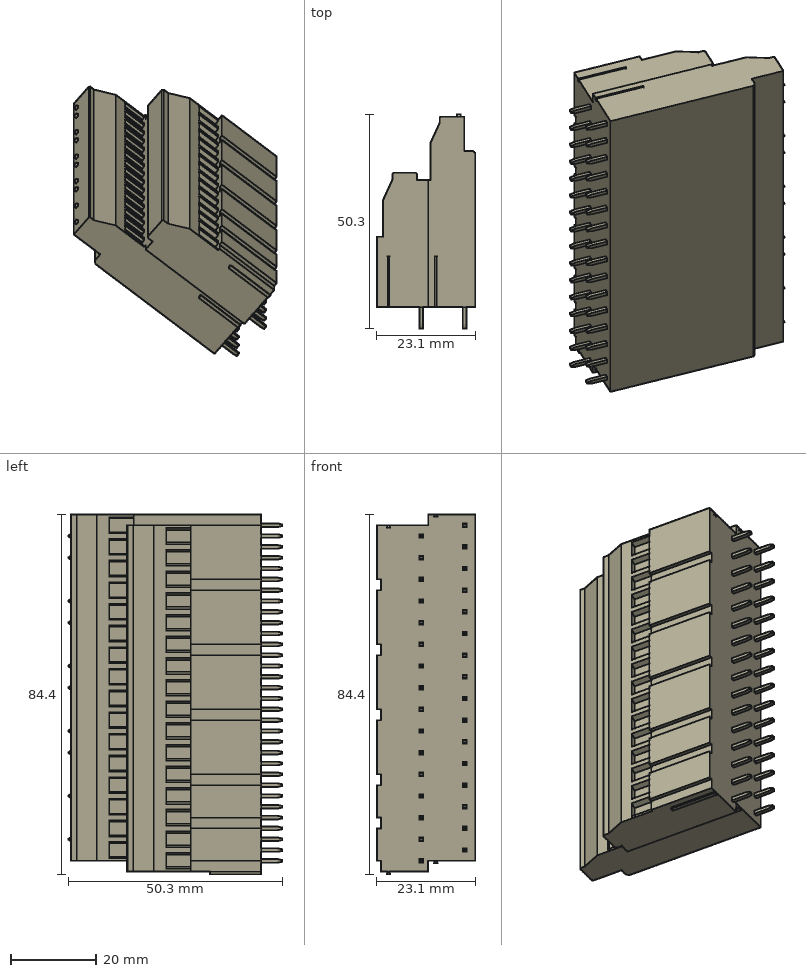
import cadquery as cq


pitch = 5.08
module_poles = [2, 2, 3, 3, 3, 3]
pole_count = sum(module_poles)
length = pole_count * pitch
tier_stagger = pitch / 2

tier_shift_x = 11.1
tier_shift_y = 13.35

depth = 23.1
split_x = 12.0
wall_x = 1.4
ledge_y = 16.55
wall_height = 8.6
slope_run = 2.2
slope_height = 4.8
front_crown_height = 1.6
rear_crown_height = 1.4
crown_back_x = 9.4
front_crown_chamfer = 0.3
rear_crown_chamfer = 0.2
shoulder_x = 20.5
shoulder_y = 36.7
shoulder_chamfer = 0.6

window_width = 5.75
window_height = 3.8
front_window_depth = 1.4
rear_window_depth = 0.7
front_window_draft = 0.5
rear_window_draft = 0.3

notch_depth = 0.9
notch_height = pitch / 2

dovetail_x = 2.7
dovetail_neck = 0.4
dovetail_base = 0.9
dovetail_height = 0.6
dovetail_length = 12.0

pin_size = 0.9
pin_tip_size = 0.4
pin_length = 5.0
pin_tip_length = 1.1
front_pin_x = 10.4
rear_pin_x = front_pin_x + 2 * pitch

ridge_x = 19.2
ridge_width = 0.9
ridge_base = 0.9
ridge_height = 0.6

slope_start_y = ledge_y + wall_height
slope_end_y = slope_start_y + slope_height
front_crown_y = slope_end_y + front_crown_height
rear_ledge_y = ledge_y + tier_shift_y
rear_crown_y = slope_end_y + tier_shift_y + rear_crown_height

tiers = [
    (0, 0, 0, front_window_depth, front_window_draft),
    (tier_shift_x, tier_shift_y, tier_stagger, rear_window_depth, rear_window_draft),
]


def extrude_profile(points, bottom_z):
    """Full-length prism of an XY outline."""
    return cq.Workplane("XY").workplane(offset=bottom_z).polyline(points).close().extrude(length)


def front_body():
    slope_x = wall_x + slope_run
    return extrude_profile(
        [
            (0, 0),
            (split_x, 0),
            (split_x, rear_ledge_y),
            (crown_back_x, rear_ledge_y),
            (crown_back_x, front_crown_y - front_crown_chamfer),
            (crown_back_x - front_crown_chamfer, front_crown_y),
            (slope_x + front_crown_chamfer, front_crown_y),
            (slope_x, front_crown_y - front_crown_chamfer),
            (slope_x, slope_end_y),
            (wall_x, slope_start_y),
            (wall_x, ledge_y),
            (0, ledge_y),
        ],
        0,
    )


def rear_body():
    rear_wall_x = wall_x + tier_shift_x
    slope_x = rear_wall_x + slope_run
    return extrude_profile(
        [
            (split_x, 0),
            (depth, 0),
            (depth, shoulder_y - shoulder_chamfer),
            (depth - shoulder_chamfer, shoulder_y),
            (shoulder_x, shoulder_y),
            (shoulder_x, rear_crown_y),
            (slope_x + rear_crown_chamfer, rear_crown_y),
            (slope_x, rear_crown_y - rear_crown_chamfer),
            (slope_x, slope_end_y + tier_shift_y),
            (rear_wall_x, slope_start_y + tier_shift_y),
            (rear_wall_x, rear_ledge_y),
            (split_x, rear_ledge_y),
        ],
        tier_stagger,
    )


def window(opening_x, bottom_y, center_z, depth_x, draft):
    """Wire entry that narrows in Z toward its back wall."""
    half_open = window_height / 2
    half_back = half_open - draft
    back_x = opening_x + depth_x
    return (
        cq.Workplane("XZ", origin=(0, bottom_y, center_z))
        .polyline([
            (opening_x, -half_open),
            (back_x, -half_back),
            (back_x, half_back),
            (opening_x, half_open),
        ])
        .close()
        .extrude(-window_width)
    )


def ledge_notch(bottom_z):
    notch = cq.Workplane("XY").box(notch_depth, ledge_y, notch_height, centered=False)
    return notch.translate((0, 0, bottom_z))


def dovetail(center_x, neck_z):
    """Dovetail bar along Y, widening downward from its neck."""
    return (
        cq.Workplane("XZ", origin=(center_x, 0, neck_z))
        .polyline([
            (-dovetail_neck / 2, 0),
            (-dovetail_base / 2, -dovetail_height),
            (dovetail_base / 2, -dovetail_height),
            (dovetail_neck / 2, 0),
        ])
        .close()
        .extrude(-dovetail_length)
    )


def pin(center_x, center_z):
    """Square pin whose tip tapers in Z only."""
    half = pin_size / 2
    half_tip = pin_tip_size / 2
    taper_y = pin_tip_length - pin_length
    return (
        cq.Workplane("YZ", origin=(center_x - half, 0, center_z))
        .polyline([
            (0, -half),
            (taper_y, -half),
            (-pin_length, -half_tip),
            (-pin_length, half_tip),
            (taper_y, half),
            (0, half),
        ])
        .close()
        .extrude(pin_size)
    )


def marking_ridge(center_z):
    """Small triangular ridge on the rear crown."""
    return (
        cq.Workplane("YZ", origin=(ridge_x - ridge_width / 2, rear_crown_y, center_z))
        .polyline([(0, -ridge_base / 2), (ridge_height, 0), (0, ridge_base / 2)])
        .close()
        .extrude(ridge_width)
    )


result = front_body().union(rear_body())

for shift_x, shift_y, bottom_z, window_depth, draft in tiers:
    for pole in range(pole_count):
        pole_z = bottom_z + (pole + 0.5) * pitch
        result = result.cut(window(wall_x + shift_x, ledge_y + shift_y, pole_z, window_depth, draft))

for shift_x, _, bottom_z, _, _ in tiers:
    result = result.cut(dovetail(dovetail_x + shift_x, bottom_z + length))
    result = result.union(dovetail(dovetail_x + shift_x, bottom_z))

for pole in range(pole_count):
    pole_z = (pole + 0.5) * pitch
    result = result.union(pin(front_pin_x, pole_z))
    result = result.union(pin(rear_pin_x, pole_z + tier_stagger))

first_pole = 0
for poles in module_poles:
    result = result.cut(ledge_notch(first_pole * pitch))
    for pole in range(first_pole + 1, first_pole + poles):
        result = result.union(marking_ridge(tier_stagger + pole * pitch))
    first_pole += poles